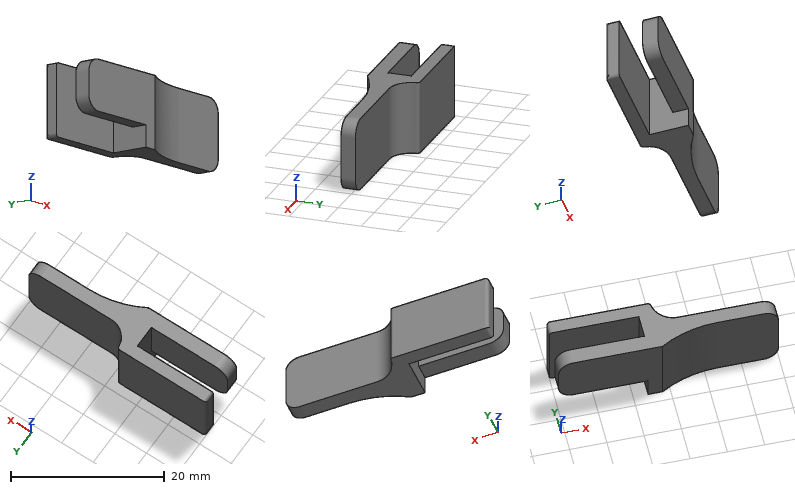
import cadquery as cq
import math

length = 30.0
width = 7.2
height = 10.0

slot_depth = 12.0
front_prong_thickness = 2.15
rear_prong_thickness = 1.8
front_prong_height = 7.0
slot_width = width - front_prong_thickness - rear_prong_thickness

shoulder_x = 13.95
tail_front_y = front_prong_thickness
tail_thickness = 2.0
tail_rear_y = tail_front_y + tail_thickness
front_shoulder_radius = 15.3
rear_shoulder_radius = width - tail_rear_y

corner_radius = 2.0
small_radius = 0.48


def front_shoulder_point(x):
    """Point on the front shoulder arc, which meets the tail tangentially."""
    offset = x - front_shoulder_end_x
    drop = front_shoulder_radius - math.sqrt(front_shoulder_radius**2 - offset**2)
    return (x, tail_front_y - drop)


front_shoulder_run = math.sqrt(front_shoulder_radius**2 - (front_shoulder_radius - tail_front_y) ** 2)
front_shoulder_end_x = shoulder_x + front_shoulder_run
front_shoulder_middle_x = shoulder_x + front_shoulder_run / 2

rear_shoulder_center_x = shoulder_x + rear_shoulder_radius
rear_shoulder_reach = rear_shoulder_radius * math.sqrt(0.5)
rear_shoulder_middle = (rear_shoulder_center_x - rear_shoulder_reach, width - rear_shoulder_reach)


def make_body():
    """Plan outline extruded to full height, with its small rear edges rounded."""
    body = (
        cq.Workplane("XY")
        .lineTo(shoulder_x, 0)
        .threePointArc(
            front_shoulder_point(front_shoulder_middle_x),
            (front_shoulder_end_x, tail_front_y),
        )
        .lineTo(length, tail_front_y)
        .lineTo(length, tail_rear_y)
        .lineTo(rear_shoulder_center_x, tail_rear_y)
        .threePointArc(rear_shoulder_middle, (shoulder_x, width))
        .lineTo(0, width)
        .close()
        .extrude(height)
    )
    return body.edges("|Z and >Y").fillet(small_radius)


def box_between(x_range, y_range, z_range):
    """Axis-aligned box given by its limits along each axis."""
    sizes = [end - start for start, end in (x_range, y_range, z_range)]
    corner = (x_range[0], y_range[0], z_range[0])
    return cq.Workplane("XY").box(*sizes, centered=False).translate(corner)


def make_envelope():
    """Side-on limits of the body, rounded at the tail and rear prong ends."""
    envelope = box_between((0, length), (0, width), (0, height))
    envelope = envelope.edges("|Y and >X").fillet(corner_radius)
    return envelope.edges("|Y and <X").fillet(small_radius)


def make_front_prong():
    """Short prong with a rounded free end, flush with the top of the body."""
    prong = box_between(
        (0, slot_depth),
        (0, front_prong_thickness),
        (height - front_prong_height, height),
    )
    return prong.edges("|Y and <X").fillet(corner_radius)


clearance = box_between((0, slot_depth), (0, front_prong_thickness + slot_width), (0, height))
result = make_body().intersect(make_envelope()).cut(clearance).union(make_front_prong())